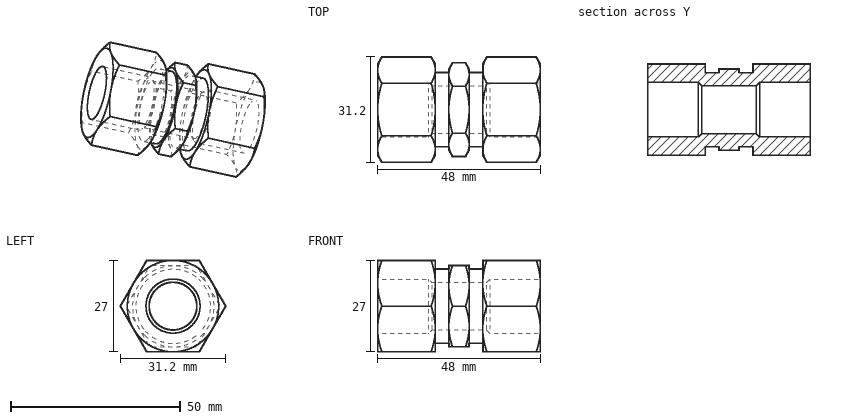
import cadquery as cq
import math

total_length = 48
nut_length = 17.0
nut_flats = 27.0
collar_length = 6.0
collar_flats = 24
body_diameter = 22.0
socket_diameter = 16.0
bore_diameter = 14.0
socket_depth = 15.0
corner_chamfer_angle = 30
seat_angle = 45


def cylinder(diameter, length):
    return cq.Workplane("YZ").circle(diameter / 2).extrude(length / 2, both=True)


def chamfered_hexagon(flats, length, centre_x):
    """Hexagon along X with corners at +/-Y, chamfered at both ends down to the flats."""
    corner_radius = flats / math.sqrt(3)
    inner_radius = flats / 2
    chamfer = (corner_radius - inner_radius) * math.tan(math.radians(corner_chamfer_angle))
    half = length / 2
    hexagon = cq.Workplane("YZ").polygon(6, 2 * corner_radius).extrude(half, both=True)
    envelope = (
        cq.Workplane("XY")
        .moveTo(-half, 0)
        .lineTo(-half, inner_radius)
        .lineTo(-half + chamfer, corner_radius)
        .lineTo(half - chamfer, corner_radius)
        .lineTo(half, inner_radius)
        .lineTo(half, 0)
        .close()
        .revolve(360, (0, 0, 0), (1, 0, 0))
    )
    return hexagon.intersect(envelope).translate((centre_x, 0, 0))


def tube_passage():
    """Through bore with a tube socket at each end, stopping on a conical seat."""
    half = total_length / 2
    socket_end = half - socket_depth
    bore_radius = bore_diameter / 2
    socket_radius = socket_diameter / 2
    seat_end = socket_end - (socket_radius - bore_radius) / math.tan(math.radians(seat_angle))
    return (
        cq.Workplane("XY")
        .moveTo(-half, 0)
        .lineTo(-half, socket_radius)
        .lineTo(-socket_end, socket_radius)
        .lineTo(-seat_end, bore_radius)
        .lineTo(seat_end, bore_radius)
        .lineTo(socket_end, socket_radius)
        .lineTo(half, socket_radius)
        .lineTo(half, 0)
        .close()
        .revolve(360, (0, 0, 0), (1, 0, 0))
    )


result = cylinder(body_diameter, total_length - nut_length)
result = result.union(chamfered_hexagon(collar_flats, collar_length, 0))

nut_offset = (total_length - nut_length) / 2
for side in (-1, 1):
    result = result.union(chamfered_hexagon(nut_flats, nut_length, side * nut_offset))

result = result.cut(tube_passage())